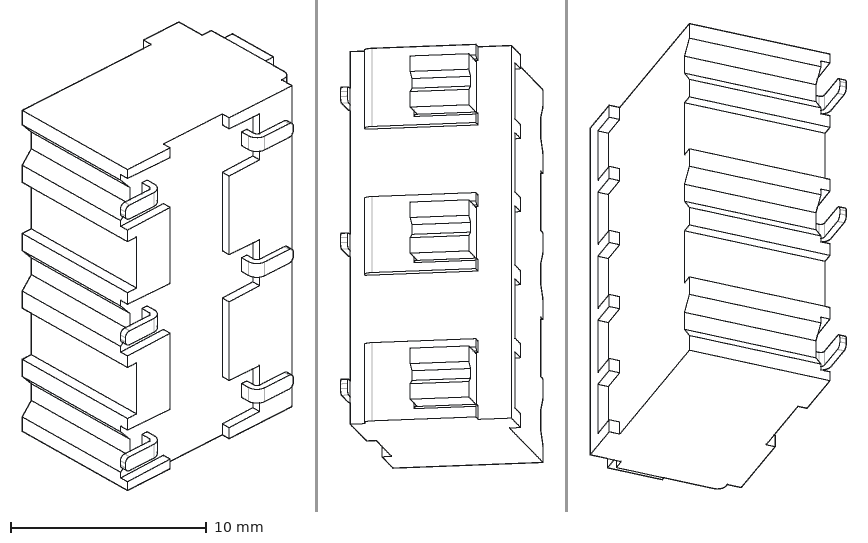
import cadquery as cq


pole_pitch = 7.62
pole_heights = [-pole_pitch, 0, pole_pitch]
gap_heights = [-pole_pitch / 2, pole_pitch / 2]

housing_height = 19.44
housing_right = 8.4
housing_back = 11.63

flange_width = 0.58
flange_front = 10.61
tooth_front = 9.12
tooth_height = 0.72

side_recess_depth = 0.5
side_recess_front = 3.01
side_recess_back = 7.17

pad_left = 1.73
pad_right = 7.62
pad_rise = 0.65
pad_corner_radius = 0.49
pad_gap = 3.65

front_relief_depth = 0.65
front_gap = 3.1
groove_mouth = 2.45
groove_floor = 1.01

channel_mouth = 3.13
channel_end = 2.78
channel_length = 9.33

tongue_left = 1.83
tongue_width = 3.05
tongue_height = 2.66
tongue_tip = 13.67
tongue_notch_mouth = 1.05
tongue_notch_floor = 0.5
tongue_notch_depth = 0.5
tongue_clearance = 0.05
tongue_slot_flare = 0.15
tongue_slot_flare_depth = 0.23

pin_right = 9.0
pin_thickness = 0.37
pin_height = 0.84
pin_bend_inner_radius = 0.21
pin_tip_radius = 0.3
pin_embedding = 0.39
front_pin_back_face = 1.87
front_pin_tip = -0.72
rear_pin_front_face = 8.53
rear_pin_tip = 11.14

channel_floor = housing_right - side_recess_depth
pad_back = housing_back + pad_rise


def box(x_range, y_range, z_range):
    """Box between the given limits on each axis."""
    size = [limits[1] - limits[0] for limits in (x_range, y_range, z_range)]
    corner = (x_range[0], y_range[0], z_range[0])
    return cq.Workplane("XY").box(*size, centered=False).translate(corner)


def around(middle, size):
    """Limits of a stretch of the given size about its middle."""
    return (middle - size / 2, middle + size / 2)


def prism_along_x(points, x_range):
    """Prism along X with a (Y, Z) outline."""
    outline = cq.Workplane("YZ", origin=(x_range[0], 0, 0)).polyline(points).close()
    return outline.extrude(x_range[1] - x_range[0])


def make_housing():
    """Full-height housing with the flange, the back pads and the side recess in its outline."""
    return (
        cq.Workplane("XY", origin=(0, 0, -housing_height / 2))
        .moveTo(flange_width, 0)
        .lineTo(housing_right, 0)
        .lineTo(housing_right, side_recess_front)
        .lineTo(channel_floor, side_recess_front)
        .lineTo(channel_floor, side_recess_back)
        .lineTo(housing_right, side_recess_back)
        .lineTo(housing_right, housing_back)
        .lineTo(pad_right, housing_back)
        .lineTo(pad_right, pad_back - pad_corner_radius)
        .radiusArc((pad_right - pad_corner_radius, pad_back), -pad_corner_radius)
        .lineTo(pad_left, pad_back)
        .lineTo(pad_left, housing_back)
        .lineTo(0, housing_back)
        .lineTo(0, tooth_front)
        .lineTo(flange_width, tooth_front)
        .close()
        .extrude(housing_height)
    )


def tooth_gap(bottom, top):
    """Opening between two teeth of the flange."""
    return box((0, flange_width), (tooth_front, flange_front), (bottom, top))


def pole_tooth_gap(z):
    """Opening between the two teeth of one pole, kept clear of the teeth at the housing ends."""
    half_gap = (pole_pitch - front_gap) / 2 - tooth_height
    end_limit = housing_height / 2 - tooth_height
    return tooth_gap(max(z - half_gap, -end_limit), min(z + half_gap, end_limit))


def front_groove(z):
    """Groove with sloped sides across the front of one pole."""
    points = [
        (0, z - groove_mouth / 2),
        (0, z + groove_mouth / 2),
        (front_relief_depth, z + groove_floor / 2),
        (front_relief_depth, z - groove_floor / 2),
    ]
    return prism_along_x(points, (0, housing_right))


def pin_channel(z):
    """Channel in the right side, open at the front and narrowing toward the back."""
    points = [
        (0, z - channel_mouth / 2),
        (0, z + channel_mouth / 2),
        (channel_length, z + channel_end / 2),
        (channel_length, z - channel_end / 2),
    ]
    return prism_along_x(points, (channel_floor, housing_right))


def tongue_slot(z):
    """Slot through the left part of a pad that clears the tongue and flares at its mouth."""
    half_slot = tongue_height / 2 + tongue_clearance
    half_mouth = half_slot + tongue_slot_flare
    flare_start = pad_back - tongue_slot_flare_depth
    points = [
        (housing_back, z - half_slot),
        (flare_start, z - half_slot),
        (pad_back, z - half_mouth),
        (pad_back, z + half_mouth),
        (flare_start, z + half_slot),
        (housing_back, z + half_slot),
    ]
    slot_right = tongue_left + tongue_width + tongue_clearance
    return prism_along_x(points, (pad_left, slot_right))


def tongue(z):
    """Contact tongue with a notched tip, rooted on the back of the housing."""
    notch_floor = tongue_tip - tongue_notch_depth
    points = [
        (flange_front, z - tongue_height / 2),
        (tongue_tip, z - tongue_height / 2),
        (tongue_tip, z - tongue_notch_mouth / 2),
        (notch_floor, z - tongue_notch_floor / 2),
        (notch_floor, z + tongue_notch_floor / 2),
        (tongue_tip, z + tongue_notch_mouth / 2),
        (tongue_tip, z + tongue_height / 2),
        (flange_front, z + tongue_height / 2),
    ]
    return prism_along_x(points, (tongue_left, tongue_left + tongue_width))


def pin(z, heel, tip):
    """Pin that leaves the channel along +X and bends along Y, from its heel face to its tip."""
    way = 1 if tip > heel else -1
    outer_radius = pin_bend_inner_radius + pin_thickness
    inner_face = heel + way * pin_thickness
    bend_start = pin_right - outer_radius
    bend_end = heel + way * outer_radius
    root = channel_floor - pin_embedding
    return (
        cq.Workplane("XY", origin=(0, 0, z - pin_height / 2))
        .moveTo(root, heel)
        .lineTo(bend_start, heel)
        .radiusArc((pin_right, bend_end), -way * outer_radius)
        .lineTo(pin_right, tip)
        .lineTo(pin_right - pin_thickness, tip)
        .lineTo(pin_right - pin_thickness, bend_end)
        .radiusArc((bend_start, inner_face), way * pin_bend_inner_radius)
        .lineTo(root, inner_face)
        .close()
        .extrude(pin_height)
        .edges(">Y" if way > 0 else "<Y")
        .edges("|X")
        .fillet(pin_tip_radius)
    )


result = make_housing()

for gap_z in gap_heights:
    front_opening = box((0, housing_right), (0, front_relief_depth), around(gap_z, front_gap))
    pad_opening = box((pad_left, pad_right), (housing_back, pad_back), around(gap_z, pad_gap))
    result = result.cut(front_opening).cut(pad_opening).cut(tooth_gap(*around(gap_z, front_gap)))

for pole_z in pole_heights:
    result = result.cut(pole_tooth_gap(pole_z))
    result = result.cut(front_groove(pole_z)).cut(pin_channel(pole_z)).cut(tongue_slot(pole_z))
    result = result.union(tongue(pole_z))
    result = result.union(pin(pole_z, front_pin_back_face, front_pin_tip))
    result = result.union(pin(pole_z, rear_pin_front_face, rear_pin_tip))